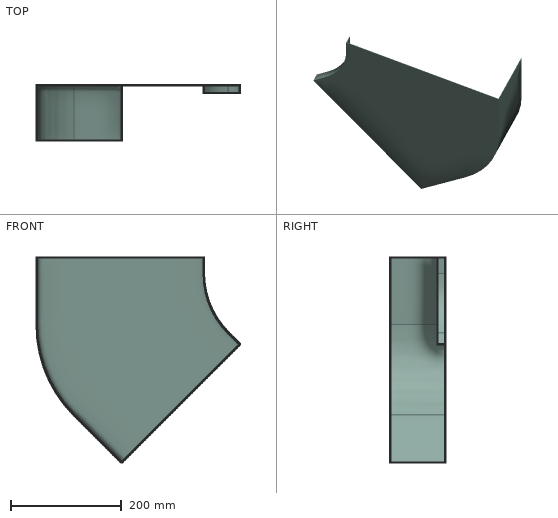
import cadquery as cq
import math

height = 370.0
depth = 100.0
lip_depth = 14.5
width = 302.0
sheet = 0.8
outer_radius = 230.2
inner_radius = 150.0
bend = math.radians(45)

outer_leg = height / (1 + math.cos(bend))
inner_leg = outer_leg - width * math.tan(bend / 2)


def bend_edge(side_x, leg, radius):
    """Points down one side: start, arc start, arc middle, arc end, finish."""
    straight = leg - radius * math.tan(bend / 2)
    arc_top = height - straight
    center_x = side_x + radius

    def on_arc(angle):
        return (center_x - radius * math.cos(angle), arc_top - radius * math.sin(angle))

    arc_end = on_arc(bend)
    finish = (arc_end[0] + straight * math.sin(bend), arc_end[1] - straight * math.cos(bend))
    return [(side_x, height), (side_x, arc_top), on_arc(bend / 2), arc_end, finish]


def extrude_outline(left, right, length):
    """Extrude the area between two bend edges from the back face toward -Y."""
    return (
        cq.Workplane("XZ", origin=(0, depth, 0))
        .moveTo(*left[0])
        .lineTo(*left[1])
        .threePointArc(left[2], left[3])
        .lineTo(*left[4])
        .lineTo(*right[4])
        .lineTo(*right[3])
        .threePointArc(right[2], right[1])
        .lineTo(*right[0])
        .close()
        .extrude(length)
    )


leg_step = sheet * math.tan(bend / 2)

wall_outside = bend_edge(0, outer_leg, outer_radius)
wall_inside = bend_edge(sheet, outer_leg - leg_step, outer_radius - sheet)
lip_inside = bend_edge(width - sheet, inner_leg + leg_step, inner_radius + sheet)
lip_outside = bend_edge(width, inner_leg, inner_radius)

web = extrude_outline(wall_outside, lip_outside, sheet)
outer_wall = extrude_outline(wall_outside, wall_inside, depth)
inner_lip = extrude_outline(lip_inside, lip_outside, lip_depth)

result = web.union(outer_wall).union(inner_lip)